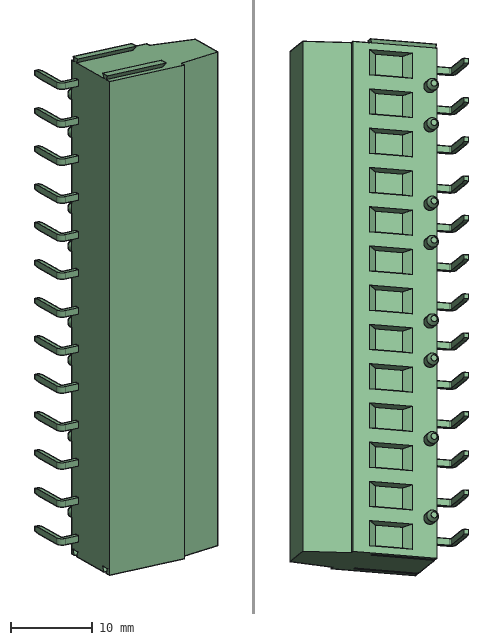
import cadquery as cq

overall_height = 65.55
pole_count = 13
body_width = 8.8
body_depth = 16.8
body_height = 65.0
pitch = body_height / pole_count

crown_depth = 5.9
crown_base_left = 0.65
crown_base_right = 8.05
crown_top_left = 1.85
crown_top_right = 7.1

rail_centers = (0.85, 7.75)
rail_length = 8.5
rail_height = overall_height - body_height
rail_crest_width = 1.1
rail_flare = 0.3
groove_depth = 0.7

window_center_y = 5.95
window_length = 5.5
window_height = 3.2
floor_length = 3.5
floor_height = 2.6
window_depth = 0.85

pin_drop = 2.7
pin_reach = 4.3
pin_thickness = 0.6
pin_width = 0.85
pin_outer_x = 1.6
bend_radius = 0.8
tip_length = 0.85
tip_narrowing = 0.1

peg_gaps = (1, 2, 4, 5, 7, 8, 10, 12)
peg_y = 1.0
peg_diameter = 1.5
peg_length = 1.85
peg_tip_length = 0.6
peg_tip_radius = 0.4


def pole_z(pole):
    """Height of a pole's centre, pole 1 being the topmost (half values fall between poles)."""
    return body_height - (pole - 0.5) * pitch


def make_body():
    shoulder_y = body_depth - crown_depth
    outline = [
        (0, 0),
        (body_width, 0),
        (body_width, shoulder_y),
        (crown_base_right, shoulder_y),
        (crown_top_right, body_depth),
        (crown_top_left, body_depth),
        (crown_base_left, shoulder_y),
        (0, shoulder_y),
    ]
    return cq.Workplane("XY").polyline(outline).close().extrude(body_height)


def dovetail_corners(center_x, half_width, end_y):
    """Corners of a level slice through a dovetail that starts at the -Y face."""
    return [
        (center_x - half_width, 0),
        (center_x + half_width, 0),
        (center_x + half_width, end_y),
        (center_x - half_width, end_y),
    ]


def make_dovetail(center_x, root_z, height):
    """Bar along Y, flush with the -Y face, whose sides and far end flare outwards going up."""
    half_crest = rail_crest_width / 2
    root = dovetail_corners(center_x, half_crest - rail_flare, rail_length - rail_flare)
    crest = dovetail_corners(center_x, half_crest, rail_length)
    return (
        cq.Workplane("XY", origin=(0, 0, root_z))
        .polyline(root)
        .close()
        .workplane(offset=height)
        .polyline(crest)
        .close()
        .loft(combine=True)
    )


def make_window(z):
    """Recess cutter narrowing from the -X face down to the floor."""
    return (
        cq.Workplane("YZ", origin=(0, window_center_y, z))
        .rect(window_length, window_height)
        .workplane(offset=window_depth)
        .rect(floor_length, floor_height)
        .loft(combine=True)
    )


def make_pin(z):
    """Flat pin that drops from the -Y face, bends and runs out towards -X to a tapered tip."""
    inner_x = pin_outer_x - pin_thickness
    tip_x = -pin_reach
    pin = (
        cq.Workplane("XY", origin=(0, 0, z - pin_width / 2))
        .moveTo(tip_x, -pin_drop)
        .lineTo(pin_outer_x - bend_radius, -pin_drop)
        .radiusArc((pin_outer_x, -pin_drop + bend_radius), -bend_radius)
        .lineTo(pin_outer_x, 0)
        .lineTo(inner_x, 0)
        .lineTo(inner_x, -pin_drop + bend_radius)
        .radiusArc((pin_outer_x - bend_radius, -pin_drop + pin_thickness), bend_radius - pin_thickness)
        .lineTo(tip_x, -pin_drop + pin_thickness)
        .close()
        .extrude(pin_width)
    )
    return pin.faces("<X").edges("|Y").chamfer(tip_narrowing, tip_length)


def make_peg(z):
    """Round peg with a conical tip, standing on the -X face."""
    radius = peg_diameter / 2
    half_section = [
        (0, 0),
        (0, radius),
        (-(peg_length - peg_tip_length), radius),
        (-peg_length, peg_tip_radius),
        (-peg_length, 0),
    ]
    return (
        cq.Workplane("XY", origin=(0, peg_y, z))
        .polyline(half_section)
        .close()
        .revolve(360, (0, 0), (1, 0))
    )


result = make_body()

for rail_x in rail_centers:
    result = result.union(make_dovetail(rail_x, body_height, rail_height))
    result = result.cut(make_dovetail(rail_x, 0, groove_depth))

for pole in range(1, pole_count + 1):
    result = result.cut(make_window(pole_z(pole)))
    result = result.union(make_pin(pole_z(pole)))

for gap in peg_gaps:
    result = result.union(make_peg(pole_z(gap + 0.5)))